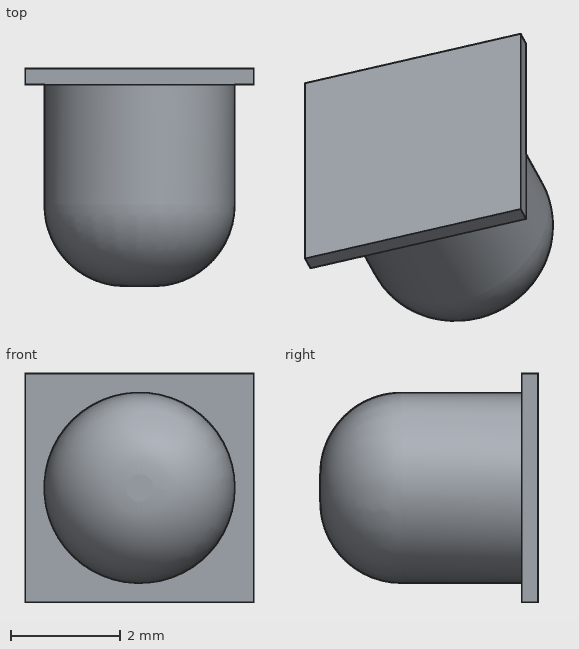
import cadquery as cq

plate_side = 4.2
plate_thickness = 0.3
total_length = 4.0
body_diameter = 3.5
nose_radius = 1.5

body_length = total_length - plate_thickness


def make_plate():
    """Square base plate, with its front face on the XZ plane and its thickness along +Y."""
    return cq.Workplane("XZ").rect(plate_side, plate_side).extrude(-plate_thickness)


def make_body():
    """Round body pointing along -Y, with its free end rounded into a dome."""
    cylinder = cq.Workplane("XZ").circle(body_diameter / 2).extrude(body_length)
    return cylinder.faces("<Y").edges().fillet(nose_radius)


result = make_plate().union(make_body())